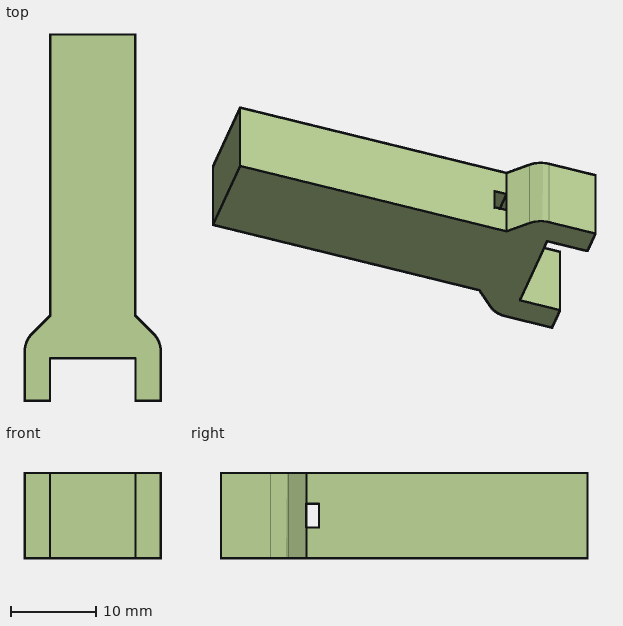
import cadquery as cq

length = 43.0
height = 10.0
fork_width = 16.0
bar_width = 10.0

mouth_depth = 5.0
shoulder_end = 10.0
shoulder_run = (fork_width - bar_width) / 2
shoulder_start = shoulder_end - shoulder_run
shoulder_radius = 3.0

window_length = 1.45
window_height = 2.75


def make_body():
    """Bar that flares through rounded 45 degree shoulders into the fork."""
    bar = cq.Workplane("XY").box(bar_width, length, height, centered=(True, False, False))
    head = (
        cq.Workplane("XY")
        .moveTo(-fork_width / 2, 0)
        .lineTo(fork_width / 2, 0)
        .lineTo(fork_width / 2, shoulder_start)
        .lineTo(bar_width / 2, shoulder_end)
        .lineTo(-bar_width / 2, shoulder_end)
        .lineTo(-fork_width / 2, shoulder_start)
        .close()
        .extrude(height)
    )
    for side in (-1, 1):
        corner = (side * fork_width / 2, shoulder_start, height / 2)
        head = head.edges(cq.selectors.NearestToPointSelector(corner)).fillet(shoulder_radius)
    return bar.union(head)


def make_mouth():
    """Square-cornered opening between the two prongs."""
    return cq.Workplane("XY").box(bar_width, mouth_depth, height, centered=(True, False, False))


def make_window():
    """Through window whose front wall is flush with the end of the shoulders."""
    return (
        cq.Workplane("XY")
        .box(bar_width, window_length, window_height, centered=(True, False, True))
        .translate((0, shoulder_end, height / 2))
    )


result = make_body().cut(make_mouth()).cut(make_window())